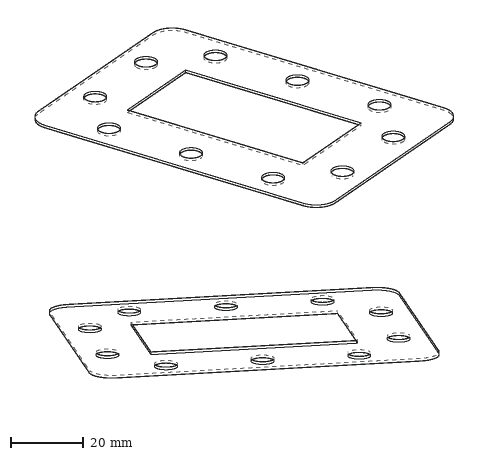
import cadquery as cq

plate_length = 98.4
plate_width = 69.9
plate_thickness = 0.81
corner_radius = 6.35

window_width = 29.08
window_length = 2 * window_width

bolt_hole_diameter = 6.35
long_edge_pitch = 27.2
long_edge_row_y = 26.6
short_edge_column_x = 41.0
short_edge_hole_y = 12.7


def make_plate():
    blank = cq.Workplane("XY").box(
        plate_length, plate_width, plate_thickness, centered=(True, True, False)
    )
    return blank.edges("|Z").fillet(corner_radius)


def bolt_hole_centres():
    centres = []
    for side in (-1, 1):
        for step in (-1, 0, 1):
            centres.append((step * long_edge_pitch, side * long_edge_row_y))
        for end in (-1, 1):
            centres.append((side * short_edge_column_x, end * short_edge_hole_y))
    return centres


def cut_window(plate):
    return plate.faces(">Z").workplane(origin=(0, 0, 0)).rect(window_length, window_width).cutThruAll()


def drill_bolt_holes(plate):
    top = plate.faces(">Z").workplane(origin=(0, 0, 0))
    return top.pushPoints(bolt_hole_centres()).hole(bolt_hole_diameter)


result = drill_bolt_holes(cut_window(make_plate()))